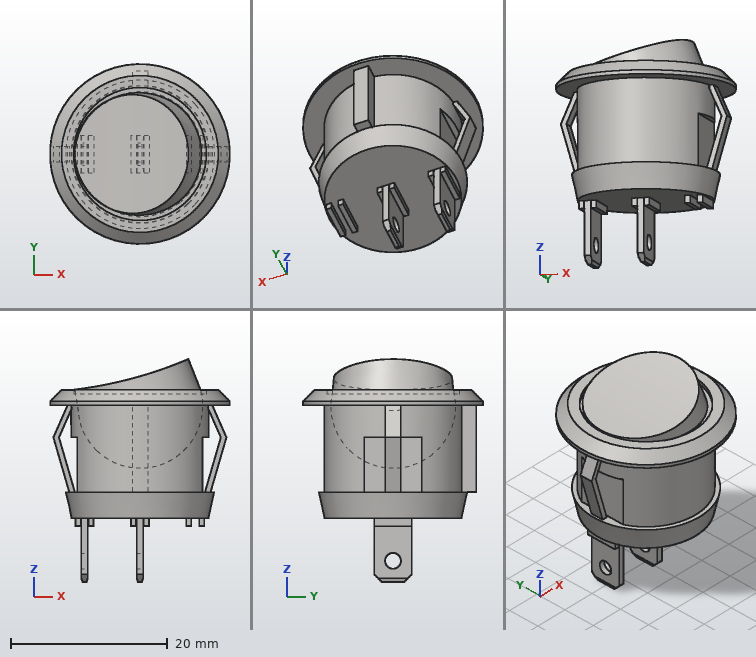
import cadquery as cq
import math


flange_radius = 23.0 / 2
flange_height = 2.0
flange_chamfer = 1.48
opening_radius = 17.0 / 2
opening_depth = 0.5

barrel_radius = 8.8
barrel_bottom = -11.05
flat_distance = 8.0
flat_top = -4.08
key_reach = 10.65
key_width = 2.0

collar_top_radius = 9.5
collar_bottom_radius = 8.75
collar_height = 3.35
collar_bottom = barrel_bottom - collar_height

rocker_radius = 16.0 / 2
rocker_tilt = 15.0
rocker_draft = 6.6
rocker_edge_height = 4.13
rocker_dish_radius = 53.03
rocker_edge_radius = rocker_radius - rocker_edge_height * math.tan(math.radians(rocker_draft))
blank_height = rocker_edge_height + 0.57
blank_radius = rocker_radius - blank_height * math.tan(math.radians(rocker_draft))

clip_width = 2.0
clip_thickness = 0.75
clip_top_reach = 9.27
clip_elbow_reach = 11.05
clip_foot_reach = 9.05

terminal_pitch = 7.07
terminal_positions = [-terminal_pitch, 0]
lug_positions = [-terminal_pitch, 0, terminal_pitch]
terminal_width = 4.85
terminal_thickness = 0.85
terminal_length = 8.13
terminal_corner = 1.0
terminal_tip_height = 0.48
terminal_tip_inset = 0.17
terminal_hole_diameter = 2.0
terminal_hole_height = 2.7
lug_height = 1.0
lug_thickness = 0.68
lug_gap = 0.97


def make_rocker():
    profile = (
        cq.Workplane("XZ")
        .moveTo(0, -rocker_radius)
        .threePointArc(
            (rocker_radius * math.sqrt(0.5), -rocker_radius * math.sqrt(0.5)),
            (rocker_radius, 0),
        )
        .lineTo(blank_radius, blank_height)
        .lineTo(0, blank_height)
        .close()
    )
    blank = profile.revolve(360, (0, 0, 0), (0, 1, 0))
    dish_center = rocker_edge_height + math.sqrt(rocker_dish_radius**2 - rocker_edge_radius**2)
    dish = (
        cq.Workplane("XZ")
        .center(0, dish_center)
        .circle(rocker_dish_radius)
        .extrude(2 * rocker_radius, both=True)
    )
    return blank.cut(dish).rotate((0, 0, 0), (0, 1, 0), -rocker_tilt)


def make_clip(side):
    """Bent strip; side is -1 or 1 for the -X or +X clip."""
    outer = [
        (clip_top_reach, 0),
        (clip_elbow_reach, flat_top),
        (clip_foot_reach, barrel_bottom),
    ]
    inner = [(reach - clip_thickness, z) for reach, z in reversed(outer)]
    outline = [(side * reach, z) for reach, z in outer + inner]
    return cq.Workplane("XZ").polyline(outline).close().extrude(clip_width / 2, both=True)


def make_terminal(x):
    tip = collar_bottom - terminal_length
    blade = (
        cq.Workplane("YZ")
        .center(0, tip + terminal_length / 2)
        .rect(terminal_width, terminal_length)
        .extrude(terminal_thickness / 2, both=True)
        .edges("|X and <Z")
        .chamfer(terminal_corner)
    )
    half = terminal_thickness / 2
    side_outline = [
        (-half, collar_bottom),
        (-half, tip + terminal_tip_height),
        (-half + terminal_tip_inset, tip),
        (half - terminal_tip_inset, tip),
        (half, tip + terminal_tip_height),
        (half, collar_bottom),
    ]
    taper = cq.Workplane("XZ").polyline(side_outline).close().extrude(terminal_width, both=True)
    hole = (
        cq.Workplane("YZ")
        .center(0, tip + terminal_hole_height)
        .circle(terminal_hole_diameter / 2)
        .extrude(terminal_thickness, both=True)
    )
    return blade.intersect(taper).cut(hole).translate((x, 0, 0))


def make_flange():
    return (
        cq.Workplane("XY")
        .circle(flange_radius)
        .extrude(flange_height)
        .faces(">Z")
        .chamfer(flange_chamfer)
    )


def make_barrel():
    barrel = cq.Workplane("XY").circle(barrel_radius).extrude(barrel_bottom)
    flat_cut_depth = barrel_radius - flat_distance
    for side in (-1, 1):
        flat_cut = (
            cq.Workplane("XY", origin=(0, 0, barrel_bottom))
            .center(side * (flat_distance + flat_cut_depth / 2), 0)
            .rect(flat_cut_depth, 2 * barrel_radius)
            .extrude(flat_top - barrel_bottom)
        )
        barrel = barrel.cut(flat_cut)
    key = cq.Workplane("XY").center(0, key_reach / 2).rect(key_width, key_reach).extrude(barrel_bottom)
    return barrel.union(key)


def make_collar():
    outline = [
        (0, barrel_bottom),
        (collar_top_radius, barrel_bottom),
        (collar_bottom_radius, collar_bottom),
        (0, collar_bottom),
    ]
    return cq.Workplane("XZ").polyline(outline).close().revolve(360, (0, 0, 0), (0, 1, 0))


def make_lugs():
    offset = (lug_gap + lug_thickness) / 2
    centers = [(x + side * offset, 0) for x in lug_positions for side in (-1, 1)]
    return (
        cq.Workplane("XY", origin=(0, 0, collar_bottom))
        .pushPoints(centers)
        .rect(lug_thickness, terminal_width)
        .extrude(-lug_height)
    )


def make_housing(fitted_bodies):
    """Housing with a matching recess for each fitted body."""
    housing = make_flange().union(make_barrel()).union(make_collar()).union(make_lugs())
    opening = (
        cq.Workplane("XY", origin=(0, 0, flange_height))
        .circle(opening_radius)
        .extrude(-opening_depth)
    )
    housing = housing.cut(opening)
    for body in fitted_bodies:
        housing = housing.cut(body)
    return housing


rocker = make_rocker()
clips = [make_clip(side) for side in (-1, 1)]
terminals = [make_terminal(x) for x in terminal_positions]
housing = make_housing([rocker, *clips])

result = cq.Compound.makeCompound(
    [housing.val(), rocker.val()]
    + [clip.val() for clip in clips]
    + [terminal.val() for terminal in terminals]
)